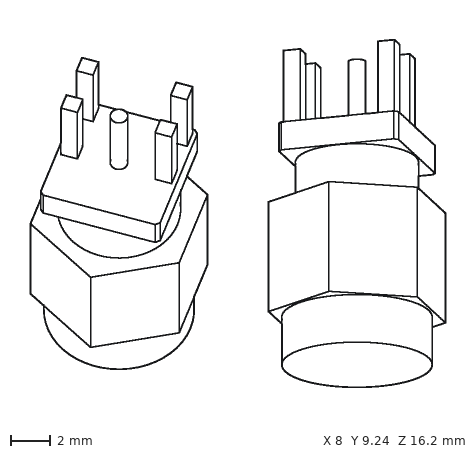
import cadquery as cq
import math

total_height = 16.24
sleeve_height = 2.55
nut_height = 5.88
neck_height = 2.42
plate_height = 1.5

sleeve_diameter = 7.7
nut_across_flats = 8.0
neck_diameter = 6.3
plate_side = 6.43
plate_corner_chamfer = 0.2

pin_width = 0.9
pin_pitch = 2.53

nut_base = sleeve_height
neck_base = nut_base + nut_height
plate_base = neck_base + neck_height
plate_top = plate_base + plate_height
pin_length = total_height - plate_top


def at_height(z):
    return cq.Workplane("XY").workplane(offset=z)


def make_nut():
    """Hexagonal nut with two flats facing X and two corners on Y."""
    across_corners = nut_across_flats / math.cos(math.radians(30))
    nut = at_height(nut_base).polygon(6, across_corners).extrude(nut_height)
    return nut.rotate((0, 0, 0), (0, 0, 1), 90)


def make_plate():
    """Square flange with small chamfers on its upright edges."""
    plate = at_height(plate_base).rect(plate_side, plate_side).extrude(plate_height)
    return plate.edges("|Z").chamfer(plate_corner_chamfer)


def make_pins():
    """Round centre pin and four square pins, two beside it and two towards +Y."""
    centre_pin = at_height(plate_top).circle(pin_width / 2).extrude(pin_length)
    square_pin_places = [(x, y) for x in (-pin_pitch, pin_pitch) for y in (0, pin_pitch)]
    square_pins = (
        at_height(plate_top)
        .pushPoints(square_pin_places)
        .rect(pin_width, pin_width)
        .extrude(pin_length)
    )
    return centre_pin.union(square_pins)


sleeve = at_height(0).circle(sleeve_diameter / 2).extrude(sleeve_height)
neck = at_height(neck_base).circle(neck_diameter / 2).extrude(neck_height)

result = sleeve.union(make_nut()).union(neck).union(make_plate()).union(make_pins())